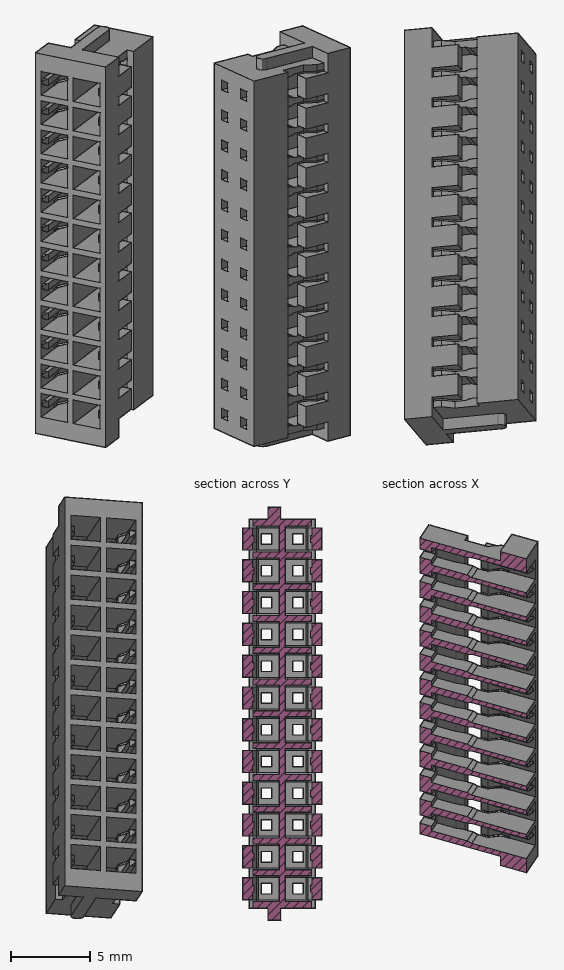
import cadquery as cq

LENGTH = 26.0
WIDTH = 5.0
DEPTH = 7.3
FRONT_Y = -DEPTH / 2
HALF_WIDTH = WIDTH / 2

ROWS = 12
ROW_SPAN = 24.0
PITCH = ROW_SPAN / ROWS
SIDES = (-1, 1)
ROW_CENTRES = [(i - (ROWS - 1) / 2) * PITCH for i in range(ROWS)]

FRAME_DEPTH = 1.8
SLOPE_START = 2.31
SLOPE_END = 3.05
FINGER_END = 3.5
LEDGE = 4.63
RIB_END = 5.8

CORE_HALF_WIDTH = 2.08
NECK_HALF_WIDTH = 1.6
FINGER_GAP = 0.6
FINGER_HEIGHT = PITCH - FINGER_GAP
CORE_LENGTH = 24.5

WALL = 0.4
POCKET_MOUTH_HEIGHT = PITCH - WALL
POCKET_DEPTH = 6.5
HEIGHT_TAPER_START = 3.75
WIDTH_TAPER_START = LEDGE
HEIGHT_TAPER_LENGTH = 0.3
WIDTH_TAPER_LENGTH = 0.57
POCKET_BACK_X = 1.5
HOLE_SIZE = 0.65
HOLE_X = 1.0

RIB_WIDTH = 0.8
RIB_X = -0.5

RIDGE_TOP_X = 1.77
RIDGE_HEIGHT = 0.45
RIDGE_START = 0.1
RIDGE_RAMP_END = 0.4
RIDGE_NOSE_END = 0.3
RIDGE_TIP_HEIGHT = 0.1


def box(x_min, x_max, near, far, height):
    """Box between two X values and two depths, centred on height zero."""
    return (
        cq.Workplane("XY")
        .box(x_max - x_min, far - near, height, centered=(False, False, True))
        .translate((x_min, FRONT_Y + near, 0))
    )


def prism(points, height):
    """Prism from (x, depth) points, centred on height zero."""
    outline = [(x, FRONT_Y + depth) for x, depth in points]
    return cq.Workplane("XY").polyline(outline).close().extrude(height / 2, both=True)


def side_profile(upper):
    """Full-width prism along X whose (depth, height) outline mirrors its upper half."""
    outline = upper + [(depth, -height) for depth, height in reversed(upper)]
    return (
        cq.Workplane("YZ")
        .polyline([(FRONT_Y + depth, height) for depth, height in outline])
        .close()
        .extrude(HALF_WIDTH, both=True)
    )


def core():
    right = [
        (CORE_HALF_WIDTH, 0),
        (CORE_HALF_WIDTH, SLOPE_START),
        (NECK_HALF_WIDTH, SLOPE_END),
        (NECK_HALF_WIDTH, LEDGE),
        (CORE_HALF_WIDTH, LEDGE),
        (CORE_HALF_WIDTH, DEPTH),
    ]
    left = [(-x, depth) for x, depth in reversed(right)]
    return prism(right + left, CORE_LENGTH)


def rib():
    radius = RIB_WIDTH / 2
    straight = box(RIB_X - radius, RIB_X + radius, 0, RIB_END - radius, LENGTH)
    tip = (
        cq.Workplane("XY")
        .center(RIB_X, FRONT_Y + RIB_END - radius)
        .circle(radius)
        .extrude(LENGTH / 2, both=True)
    )
    return straight.union(tip)


def pocket(side):
    """Contact pocket: its outer wall steps inward behind the slope, and it loses height near the ledge."""
    plan = [
        (side * WALL / 2, 0),
        (side * CORE_HALF_WIDTH, 0),
        (side * CORE_HALF_WIDTH, SLOPE_START),
        (side * NECK_HALF_WIDTH, SLOPE_END),
        (side * NECK_HALF_WIDTH, WIDTH_TAPER_START),
        (side * POCKET_BACK_X, WIDTH_TAPER_START + WIDTH_TAPER_LENGTH),
        (side * POCKET_BACK_X, POCKET_DEPTH),
        (side * WALL / 2, POCKET_DEPTH),
    ]
    upper = [
        (0, POCKET_MOUTH_HEIGHT / 2),
        (HEIGHT_TAPER_START, POCKET_MOUTH_HEIGHT / 2),
        (HEIGHT_TAPER_START + HEIGHT_TAPER_LENGTH, FINGER_HEIGHT / 2),
        (POCKET_DEPTH, FINGER_HEIGHT / 2),
    ]
    return prism(plan, PITCH).intersect(side_profile(upper))


def guide_ridge(side):
    """Ridge on the outer pocket wall: ramped, pointed nose in front, running back into the slope."""
    plan = [
        (side * CORE_HALF_WIDTH, RIDGE_START),
        (side * RIDGE_TOP_X, RIDGE_RAMP_END),
        (side * RIDGE_TOP_X, SLOPE_END),
        (side * CORE_HALF_WIDTH, SLOPE_END),
    ]
    upper = [
        (RIDGE_START, RIDGE_TIP_HEIGHT / 2),
        (RIDGE_NOSE_END, RIDGE_HEIGHT / 2),
        (SLOPE_END, RIDGE_HEIGHT / 2),
    ]
    return prism(plan, RIDGE_HEIGHT).intersect(side_profile(upper))


def contact_hole(side):
    x = side * HOLE_X
    return box(x - HOLE_SIZE / 2, x + HOLE_SIZE / 2, 0, DEPTH, HOLE_SIZE)


def cavity(side):
    """Everything removed for one contact in a row centred on height zero."""
    return pocket(side).cut(guide_ridge(side)).union(contact_hole(side))


def at_rows(shape):
    """Copies of a shape at every row height, gathered in one compound."""
    copies = [shape.val().translate(cq.Vector(0, 0, z)) for z in ROW_CENTRES]
    return cq.Workplane(cq.Compound.makeCompound(copies))


frame = box(-HALF_WIDTH, HALF_WIDTH, 0, FRAME_DEPTH, LENGTH)
finger_pair = box(-HALF_WIDTH, HALF_WIDTH, 0, FINGER_END, FINGER_HEIGHT)
result = frame.union(core()).union(rib()).union(at_rows(finger_pair))

for side in SIDES:
    result = result.cut(at_rows(cavity(side)))